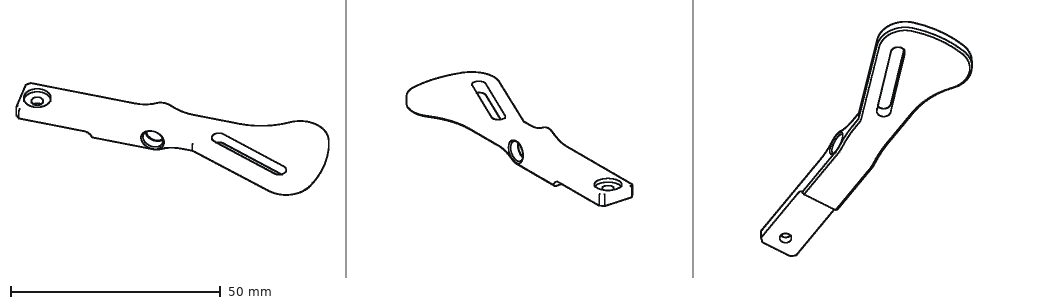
import cadquery as cq
import math

LENGTH = 75.7
ARM_WIDTH = 10.0
PLATE_THICKNESS = 3.0
RIM_SIZE = 0.5
END_CORNER = 1.0

PIVOT_X = 34.15
BOSS_DIAMETER = 7.05
BOSS_RADIUS = BOSS_DIAMETER / 2
BORE_RADIUS = 2.3
MOUTH_RADIUS = 2.9
MOUTH_CHAMFER = 0.4
SEAT_DEPTH = 2.5
BLEND_LENGTH = 7.2
STEP_X = 19.15
STEP_RADIUS = BOSS_RADIUS - PLATE_THICKNESS / 2

HEAD_RADIUS = 6.9
UPPER_CENTER = (68.35, 3.3)
LOWER_CENTER = (67.9, -7.1)
TIP_RADIUS = 27.6
NECK_X = 52.85
LOWER_EDGE_ANGLE = math.radians(21.8)

SLOT_RADIUS = 1.7
SLOT_START = (49.6, -1.45)
SLOT_END = (66.55, -8.3)

SCREW_X = 4.1
SCREW_DIAMETER = 2.8
COUNTERBORE_DIAMETER = 6.5
COUNTERBORE_DEPTH = 1.0

HALF_WIDTH = ARM_WIDTH / 2
HALF_PLATE = PLATE_THICKNESS / 2
TOLERANCE = 0.001


def toward(start, end, distance):
    """Point at a distance from start along the direction to end."""
    ratio = distance / math.dist(start, end)
    return (start[0] + ratio * (end[0] - start[0]), start[1] + ratio * (end[1] - start[1]))


def on_circle(center, radius, angle):
    return (center[0] + radius * math.cos(angle), center[1] + radius * math.sin(angle))


def side_profile():
    """Side shape of plate, boss and lower block, extruded across the lever."""
    blend_radius = (BLEND_LENGTH**2 + HALF_PLATE**2 - BOSS_RADIUS**2) / (2 * (BOSS_RADIUS - HALF_PLATE))
    blend_center = (BLEND_LENGTH, HALF_PLATE + blend_radius)
    tangent_x, tangent_z = toward((0, 0), blend_center, BOSS_RADIUS)
    tangent_angle = math.atan2(tangent_z, tangent_x)
    blend_mid_angle = (-math.pi / 2 + tangent_angle - math.pi) / 2
    mid_x, mid_z = on_circle(blend_center, blend_radius, blend_mid_angle)
    boss_mid_x, boss_mid_z = on_circle((0, 0), BOSS_RADIUS, (tangent_angle + math.pi / 2) / 2)

    step_center = (STEP_X - STEP_RADIUS, -BOSS_RADIUS)
    return (
        cq.Workplane("XZ")
        .moveTo(0, -HALF_PLATE)
        .lineTo(0, HALF_PLATE)
        .lineTo(PIVOT_X - BLEND_LENGTH, HALF_PLATE)
        .threePointArc((PIVOT_X - mid_x, mid_z), (PIVOT_X - tangent_x, tangent_z))
        .threePointArc((PIVOT_X, BOSS_RADIUS), (PIVOT_X + tangent_x, tangent_z))
        .threePointArc((PIVOT_X + mid_x, mid_z), (PIVOT_X + BLEND_LENGTH, HALF_PLATE))
        .lineTo(LENGTH + HALF_PLATE, HALF_PLATE)
        .lineTo(LENGTH + HALF_PLATE, -HALF_PLATE)
        .lineTo(PIVOT_X + BLEND_LENGTH, -HALF_PLATE)
        .threePointArc((PIVOT_X + mid_x, -mid_z), (PIVOT_X + tangent_x, -tangent_z))
        .threePointArc((PIVOT_X + boss_mid_x, -boss_mid_z), (PIVOT_X, -BOSS_RADIUS))
        .lineTo(STEP_X, -BOSS_RADIUS)
        .threePointArc(on_circle(step_center, STEP_RADIUS, math.pi / 4), (step_center[0], -HALF_PLATE))
        .close()
        .extrude(LENGTH / 2, both=True)
    )


def plan_outline():
    """Arm and paddle outline seen along Z, extruded through the boss height."""
    run = UPPER_CENTER[0] - NECK_X
    rise = HALF_WIDTH - UPPER_CENTER[1]
    neck_radius = (run**2 + rise**2 - HEAD_RADIUS**2) / (2 * (HEAD_RADIUS - rise))
    neck_center = (NECK_X, HALF_WIDTH + neck_radius)
    neck_end = toward(UPPER_CENTER, neck_center, HEAD_RADIUS)
    neck_mid = toward(neck_center, ((NECK_X + neck_end[0]) / 2, (HALF_WIDTH + neck_end[1]) / 2), neck_radius)

    spacing = math.dist(UPPER_CENTER, LOWER_CENTER)
    axis_x = (UPPER_CENTER[0] - LOWER_CENTER[0]) / spacing
    axis_y = (UPPER_CENTER[1] - LOWER_CENTER[1]) / spacing
    offset = math.sqrt((TIP_RADIUS - HEAD_RADIUS) ** 2 - (spacing / 2) ** 2)
    middle = ((UPPER_CENTER[0] + LOWER_CENTER[0]) / 2, (UPPER_CENTER[1] + LOWER_CENTER[1]) / 2)
    tip_center = (middle[0] - offset * axis_y, middle[1] + offset * axis_x)
    tip_start = toward(tip_center, UPPER_CENTER, TIP_RADIUS)
    tip_end = toward(tip_center, LOWER_CENTER, TIP_RADIUS)

    edge_end = on_circle(LOWER_CENTER, HEAD_RADIUS, -math.pi / 2 - LOWER_EDGE_ANGLE)
    edge_start_x = edge_end[0] - (-HALF_WIDTH - edge_end[1]) / math.tan(LOWER_EDGE_ANGLE)

    return (
        cq.Workplane("XY", origin=(0, 0, -BOSS_RADIUS))
        .moveTo(0, -HALF_WIDTH + END_CORNER)
        .lineTo(0, HALF_WIDTH - END_CORNER)
        .lineTo(END_CORNER, HALF_WIDTH)
        .lineTo(NECK_X, HALF_WIDTH)
        .threePointArc(neck_mid, neck_end)
        .threePointArc(on_circle(UPPER_CENTER, HEAD_RADIUS, math.pi / 3), tip_start)
        .threePointArc((tip_center[0] + TIP_RADIUS, tip_center[1]), tip_end)
        .threePointArc(on_circle(LOWER_CENTER, HEAD_RADIUS, -math.pi / 3), edge_end)
        .lineTo(edge_start_x, -HALF_WIDTH)
        .lineTo(END_CORNER, -HALF_WIDTH)
        .close()
        .extrude(2 * BOSS_RADIUS)
    )


def rim_edges(body, top):
    """Edges around the top rim, or around the bottom rim from the lower block to the tip."""
    picked = []
    for edge in body.edges("not |Z").vals():
        center = edge.Center()
        crosses_arm = abs(center.y) < TOLERANCE and TOLERANCE < center.x < NECK_X
        if top:
            on_rim = center.z > TOLERANCE
        else:
            on_rim = center.z < -TOLERANCE and center.x > STEP_X
        if on_rim and not crosses_arm:
            picked.append(edge)
    return picked


def pivot_bore():
    """Bore through the boss, with a slightly wider seat and a chamfer at both mouths."""
    seat_radius = MOUTH_RADIUS - MOUTH_CHAMFER
    bore = cq.Workplane("XZ").center(PIVOT_X, 0).circle(BORE_RADIUS).extrude(HALF_WIDTH, both=True)
    for side in (-1, 1):
        inward = cq.Vector(0, -side, 0)
        mouth_center = cq.Vector(PIVOT_X, side * HALF_WIDTH, 0)
        seat = cq.Solid.makeCylinder(seat_radius, SEAT_DEPTH, mouth_center, inward)
        mouth = cq.Solid.makeCone(MOUTH_RADIUS, seat_radius, MOUTH_CHAMFER, mouth_center, inward)
        bore = bore.union(cq.Workplane(seat)).union(cq.Workplane(mouth))
    return bore


def paddle_slot():
    slot_length = math.dist(SLOT_START, SLOT_END) + 2 * SLOT_RADIUS
    slot_angle = math.degrees(math.atan2(SLOT_END[1] - SLOT_START[1], SLOT_END[0] - SLOT_START[0]))
    return (
        cq.Workplane("XY")
        .center((SLOT_START[0] + SLOT_END[0]) / 2, (SLOT_START[1] + SLOT_END[1]) / 2)
        .slot2D(slot_length, 2 * SLOT_RADIUS, slot_angle)
        .extrude(PLATE_THICKNESS, both=True)
    )


body = side_profile().intersect(plan_outline())
body = body.newObject(rim_edges(body, top=False)).chamfer(RIM_SIZE)
body = body.newObject(rim_edges(body, top=True)).fillet(RIM_SIZE)
body = body.cut(pivot_bore()).cut(paddle_slot())
result = (
    body.copyWorkplane(cq.Workplane("XY", origin=(0, 0, HALF_PLATE)))
    .pushPoints([(SCREW_X, 0)])
    .cboreHole(SCREW_DIAMETER, COUNTERBORE_DIAMETER, COUNTERBORE_DEPTH)
)